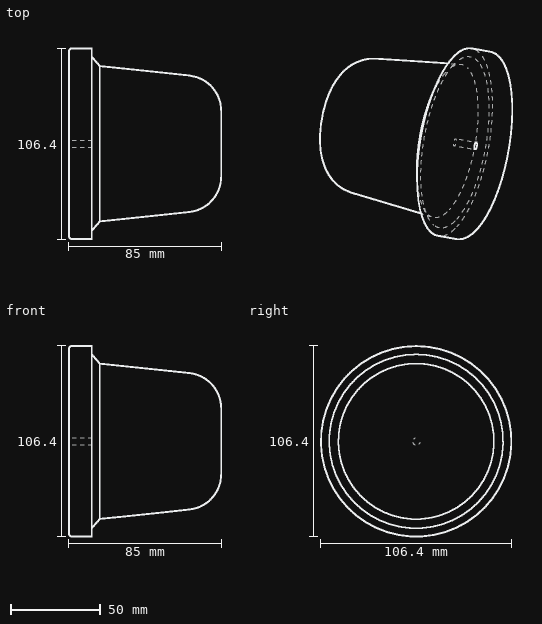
import cadquery as cq
import math

AXIS_START = (0, 0, 0)
AXIS_END = (1, 0, 0)

total_length = 85.0

flange_radius = 53.2
flange_thickness = 12.8
rim_fillet = 1.5
hole_diameter = 4.0

collar_radius = 48.5
cone_base_radius = 43.4
collar_length = 4.5
nose_fillet = 20.0
draft_angle = math.radians(6.0)


def make_flange():
    """Round plate with a rounded rim on the mounting face and a central through hole."""
    plate = (
        cq.Workplane("XZ")
        .lineTo(0, flange_radius)
        .lineTo(flange_thickness, flange_radius)
        .lineTo(flange_thickness, 0)
        .close()
        .revolve(360, AXIS_START, AXIS_END)
    )
    plate = plate.faces("<X").edges().fillet(rim_fillet)
    hole = cq.Workplane("YZ").circle(hole_diameter / 2).extrude(flange_thickness)
    return plate.cut(hole)


def make_bumper():
    """Solid buffer seated on the flange; its flat base closes the flange hole."""
    cone_start = flange_thickness + collar_length

    nose_centre_x = total_length - nose_fillet
    nose_start_x = nose_centre_x + nose_fillet * math.sin(draft_angle)
    nose_start_radius = cone_base_radius - (nose_start_x - cone_start) * math.tan(draft_angle)
    end_flat_radius = nose_start_radius - nose_fillet * math.cos(draft_angle)

    mid_angle = (draft_angle + math.pi / 2) / 2
    nose_middle = (
        nose_centre_x + nose_fillet * math.sin(mid_angle),
        end_flat_radius + nose_fillet * math.cos(mid_angle),
    )

    return (
        cq.Workplane("XZ")
        .moveTo(flange_thickness, 0)
        .lineTo(flange_thickness, collar_radius)
        .lineTo(cone_start, cone_base_radius)
        .lineTo(nose_start_x, nose_start_radius)
        .threePointArc(nose_middle, (total_length, end_flat_radius))
        .lineTo(total_length, 0)
        .close()
        .revolve(360, AXIS_START, AXIS_END)
    )


flange = make_flange()
bumper = make_bumper()

result = cq.Compound.makeCompound([flange.val(), bumper.val()])